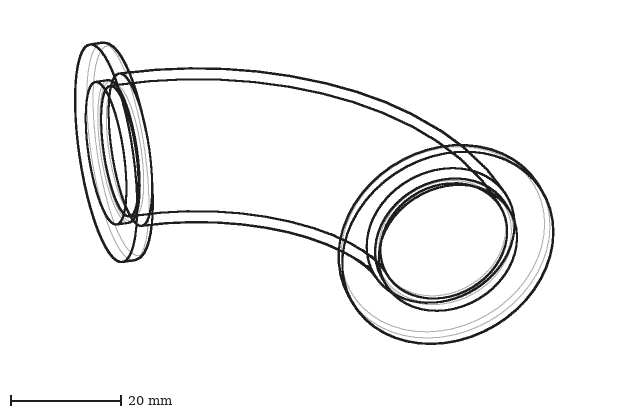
import cadquery as cq
import math

port_reach = 50.0
straight_length = 3.6
tube_outer_diameter = 28.0
bore_diameter = 24.0

flange_diameter = 40.0
rim_height = 3.0
taper_angle = 15.0
rim_round_radius = 1.0

recess_diameter = 26.2
recess_depth = 2.6
recess_corner_radius = 0.3

tube_radius = tube_outer_diameter / 2
bore_radius = bore_diameter / 2
flange_radius = flange_diameter / 2
recess_radius = recess_diameter / 2

face_y = -port_reach
bend_angle = 90.0
bend_radius = port_reach - straight_length

taper_slope = math.radians(taper_angle)
mid_wall_radius = (tube_radius + bore_radius) / 2
taper_height = (flange_radius - mid_wall_radius) * math.tan(taper_slope)
flange_length = rim_height + taper_height
round_setback = rim_round_radius * math.tan((math.pi / 2 - taper_slope) / 2)


def make_bend(section_radius):
    """Quarter torus joining the straight ends of the two ports."""
    return (
        cq.Workplane("XZ", origin=(0, -bend_radius, 0))
        .circle(section_radius)
        .revolve(bend_angle, (bend_radius, 0, 0), (bend_radius, -1, 0))
    )


def make_flange():
    """Solid clamp flange on the -Y port: a rim with a rounded corner and a taper."""
    rim_corner_y = face_y + rim_height
    taper_start = (
        flange_radius - round_setback * math.cos(taper_slope),
        rim_corner_y + round_setback * math.sin(taper_slope),
    )
    return (
        cq.Workplane("XY")
        .moveTo(0, face_y)
        .lineTo(flange_radius, face_y)
        .lineTo(flange_radius, rim_corner_y - round_setback)
        .radiusArc(taper_start, -rim_round_radius)
        .lineTo(mid_wall_radius, face_y + flange_length)
        .lineTo(0, face_y + flange_length)
        .close()
        .revolve(360, (0, 0, 0), (0, 1, 0))
    )


def make_port_bore():
    """Straight bore and round-cornered recess cut into the -Y port."""
    face = cq.Workplane("XZ", origin=(0, face_y, 0))
    bore = face.circle(bore_radius).extrude(-straight_length)
    recess = (
        face.circle(recess_radius)
        .extrude(-recess_depth)
        .faces(">Y")
        .edges()
        .fillet(recess_corner_radius)
    )
    return bore.union(recess)


def at_both_ports(shape):
    """Join a -Y port shape with its copy turned onto the +X port."""
    return shape.union(shape.rotate((0, 0, 0), (0, 0, 1), 90))


outside = at_both_ports(make_flange()).union(make_bend(tube_radius))
result = outside.cut(make_bend(bore_radius)).cut(at_both_ports(make_port_bore()))